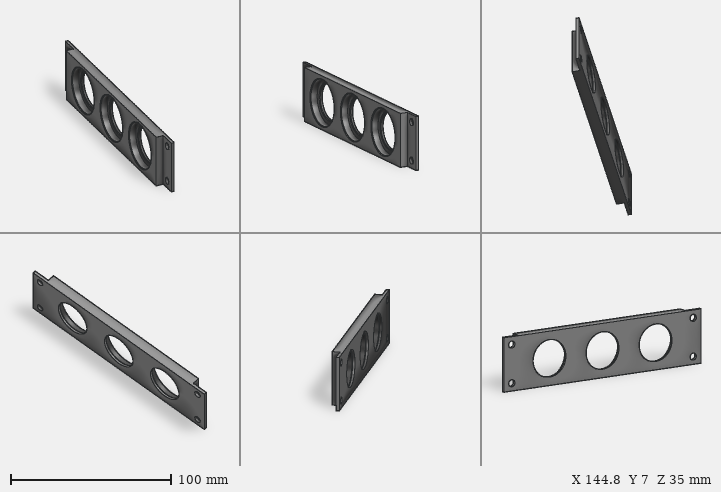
import cadquery as cq

length = 144.8
thickness = 7.0
height = 35.0

tab_length = 11.0
tab_thickness = 2.0
screw_diameter = 4.5
screw_edge_distance = 5.8
screw_spacing = 24.9

opening_count = 3
opening_pitch = 39.0
bore_diameter = 24.0
recess_diameter = 30.0
recess_depth = 4.9
edge_chamfer = 0.5

front_y = -thickness / 2
back_y = thickness / 2


def make_plate():
    """Raised centre block carried by a thin full-length back plate."""
    back_plate = cq.Workplane("XY").box(length, tab_thickness, height)
    back_plate = back_plate.translate((0, back_y - tab_thickness / 2, 0))
    block = cq.Workplane("XY").box(length - 2 * tab_length, thickness, height)
    return back_plate.union(block)


def make_opening_cutter(x):
    """Recess and through bore, each with a chamfered front edge, as one revolved cutter."""
    bore_radius = bore_diameter / 2
    recess_radius = recess_diameter / 2
    ledge_y = front_y + recess_depth
    profile = (
        cq.Workplane("XY")
        .moveTo(0, front_y)
        .lineTo(recess_radius + edge_chamfer, front_y)
        .lineTo(recess_radius, front_y + edge_chamfer)
        .lineTo(recess_radius, ledge_y)
        .lineTo(bore_radius + edge_chamfer, ledge_y)
        .lineTo(bore_radius, ledge_y + edge_chamfer)
        .lineTo(bore_radius, back_y)
        .lineTo(0, back_y)
        .close()
    )
    return profile.revolve(360, (0, 0, 0), (0, 1, 0)).translate((x, 0, 0))


def make_screw_holes():
    """Four through holes, two in each tab."""
    return (
        cq.Workplane("XZ", origin=(0, back_y, 0))
        .rarray(length - 2 * screw_edge_distance, screw_spacing, 2, 2)
        .circle(screw_diameter / 2)
        .extrude(thickness)
    )


result = make_plate().cut(make_screw_holes())
for index in range(opening_count):
    opening_x = (index - (opening_count - 1) / 2) * opening_pitch
    result = result.cut(make_opening_cutter(opening_x))